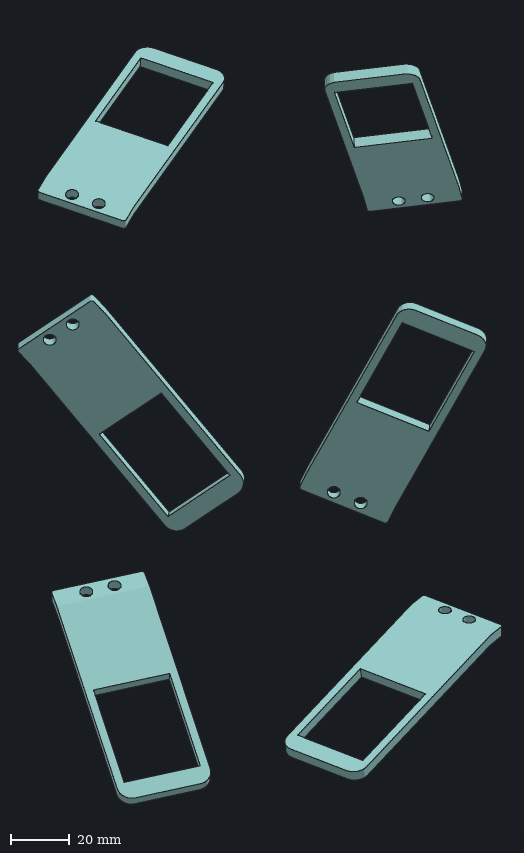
import cadquery as cq
import math

width = 33.0
length = 86.3
arm_thickness = 4.0
tab_thickness = 4.05
tab_length = 7.4
slope_angle = 10.0
far_corner_radius = 5.0
tab_corner_radius = 1.0

hole_diameter = 4.3
hole_spacing = 10.0

window_width = 26.9
window_length = 38.0
window_far_margin = 7.0

slope = math.radians(slope_angle)
arm_length = (length - tab_length) / math.cos(slope)
bend_offset = (tab_thickness - arm_thickness / math.cos(slope)) / math.tan(slope)
arm_bend_offset = bend_offset * math.cos(slope) + tab_thickness * math.sin(slope)
window_center = arm_length - window_far_margin - window_length / 2

arm_plane = cq.Plane(
    origin=(0, 0, 0),
    xDir=(1, 0, 0),
    normal=(0, math.sin(slope), math.cos(slope)),
)


def make_tab():
    """Flat mounting tab with rounded front corners and two screw holes."""
    profile = [
        (-tab_length, 0),
        (0, 0),
        (bend_offset, -tab_thickness),
        (-tab_length, -tab_thickness),
    ]
    tab = (
        cq.Workplane("YZ")
        .polyline(profile)
        .close()
        .extrude(width / 2, both=True)
        .edges("|Z and <Y")
        .fillet(tab_corner_radius)
    )
    holes = (
        cq.Workplane("XY")
        .pushPoints([(side * hole_spacing / 2, -tab_length / 2) for side in (-1, 1)])
        .circle(hole_diameter / 2)
        .extrude(-tab_thickness)
    )
    return tab.cut(holes)


def make_arm():
    """Sloping plate with rounded far corners and a rectangular window."""
    profile = [(0, 0), (arm_length, 0), (arm_length, -arm_thickness), (arm_bend_offset, -arm_thickness)]
    side_plane = cq.Plane(origin=(0, 0, 0), xDir=arm_plane.yDir, normal=(1, 0, 0))
    arm = (
        cq.Workplane(side_plane)
        .polyline(profile)
        .close()
        .extrude(width / 2, both=True)
        .edges(cq.selectors.ParallelDirSelector(arm_plane.zDir))
        .edges(">Y")
        .fillet(far_corner_radius)
    )
    window = (
        cq.Workplane(arm_plane)
        .center(0, window_center)
        .rect(window_width, window_length)
        .extrude(-arm_thickness)
    )
    return arm.cut(window)


result = make_tab().union(make_arm())